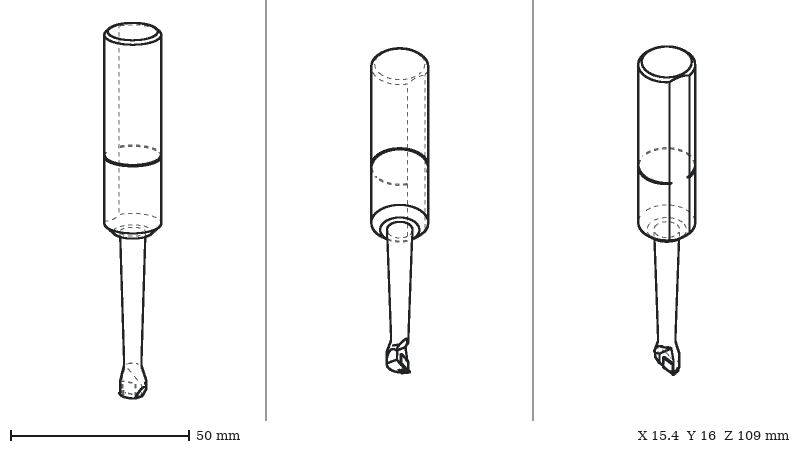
import cadquery as cq
import math

total_length = 109.0

shank_radius = 16.0 / 2
shank_bottom_z = 49.0
shank_width_over_flat = 15.4
shank_flat_x = shank_radius - shank_width_over_flat
top_chamfer = 1.0
bottom_chamfer = 2.5

groove_z = 71.8
groove_depth = 0.2

neck_root_radius = 7.2 / 2
neck_tip_radius = 5.0 / 2
taper_end_z = 11.4
neck_end_z = 8.8

drum_radius = 3.7
drum_offset_x = 0.1
drum_offset_y = 0.1
drum_top_z = 4.5
end_relief_angle = 6.0
end_z = 0.16

side_relief_top_z = 3.4
side_relief_bottom_x = 2.5
relief_margin = 1.1

rake_edge_x = -3.6
rake_edge_y = -0.2
rake_angle = 11.0
pocket_wall_angle = 45.0
pocket_corner_x = 2.4
pocket_corner_top_x = -3.0
pocket_reach = 16.4

tip_top_z = 3.5
tip_thickness = 0.4
tip_inner_x = 0.3
nose_section = [(-4.3, 0.27), (-4.1, 0.0), (-2.6, 0.2), (-3.0, 0.9)]
nose_front_y = 0.2
nose_length = 2.1
nose_taper_x = 0.9
nose_taper_z = 0.2


def rake_point(x, height=0.0):
    """XY point on the rake face at x, or raised above the face in Y."""
    rise = (x - rake_edge_x) * math.tan(math.radians(rake_angle))
    return (x, rake_edge_y + rise + height)


def revolved(points):
    """Solid of revolution about Z from (radius, z) points."""
    return cq.Workplane("XZ").polyline(points).close().revolve(360, (0, 0, 0), (0, 1, 0))


def plane_at(z):
    """Workplane parallel to XY at height z."""
    return cq.Workplane("XY").workplane(offset=z)


def shank():
    """Clamping cylinder with its flat and its groove."""
    length = total_length - shank_bottom_z
    cylinder = plane_at(shank_bottom_z).circle(shank_radius).extrude(length)
    cylinder = cylinder.faces(">Z").chamfer(top_chamfer)
    cylinder = cylinder.faces("<Z").chamfer(bottom_chamfer)
    flat_cut = plane_at(shank_bottom_z).center(shank_flat_x - shank_radius, 0)
    flat_cut = flat_cut.rect(2 * shank_radius, 4 * shank_radius).extrude(length)
    groove = revolved([
        (shank_radius - groove_depth, groove_z),
        (shank_radius + groove_depth, groove_z + 2 * groove_depth),
        (shank_radius + groove_depth, groove_z - 2 * groove_depth),
    ])
    return cylinder.cut(flat_cut).cut(groove)


def neck():
    """Slender stem between the shank and the head."""
    return revolved([
        (0, shank_bottom_z),
        (neck_root_radius, shank_bottom_z),
        (neck_tip_radius, taper_end_z),
        (neck_tip_radius, neck_end_z),
        (0, neck_end_z),
    ])


def chip_pocket():
    """Straight beside the tip, then sliding towards -X up to the end of the neck."""
    wall = math.radians(pocket_wall_angle)
    rake = math.radians(rake_angle)

    def section(corner_x, z):
        x, y = rake_point(corner_x)
        along_wall = (pocket_reach * math.cos(wall), pocket_reach * math.sin(wall))
        along_rake = (-pocket_reach * math.cos(rake), -pocket_reach * math.sin(rake))
        outline = [
            (x, y),
            (x + along_wall[0], y + along_wall[1]),
            (x + along_wall[0] + along_rake[0], y + along_wall[1] + along_rake[1]),
            (x + along_rake[0], y + along_rake[1]),
        ]
        return cq.Wire.makePolygon([cq.Vector(px, py, z) for px, py in outline], close=True)

    bottom = section(pocket_corner_x, 0)
    middle = section(pocket_corner_x, tip_top_z)
    top = section(pocket_corner_top_x, neck_end_z)
    lower = cq.Solid.makeLoft([bottom, middle], True)
    upper = cq.Solid.makeLoft([middle, top], True)
    return cq.Workplane(lower).union(cq.Workplane(upper))


def drum_and_flare():
    """Head before its end, side and chip pocket are cut."""
    drum = plane_at(0).center(drum_offset_x, drum_offset_y).circle(drum_radius).extrude(drum_top_z)
    flare = (
        plane_at(drum_top_z).center(drum_offset_x, drum_offset_y).circle(drum_radius)
        .workplane(offset=neck_end_z - drum_top_z)
        .center(-drum_offset_x, -drum_offset_y).circle(neck_tip_radius)
        .loft(ruled=True)
    )
    return drum.union(flare)


def end_relief():
    """Space under the end face, which rises towards -Y."""
    reach = 2 * drum_radius
    rise = reach * math.tan(math.radians(end_relief_angle))
    return (
        cq.Workplane("YZ")
        .polyline([(-reach, end_z + rise), (reach, end_z - rise), (reach, -reach), (-reach, -reach)])
        .close().extrude(reach, both=True)
    )


def side_relief():
    """Space beside the sloping face on the +X side of the drum."""
    outer_x = drum_offset_x + drum_radius
    slope = (outer_x - side_relief_bottom_x) / side_relief_top_z
    return (
        cq.Workplane("XZ")
        .polyline([
            (outer_x + slope * relief_margin, side_relief_top_z + relief_margin),
            (side_relief_bottom_x - slope * relief_margin, -relief_margin),
            (outer_x + slope * relief_margin, -relief_margin),
        ])
        .close().extrude(2 * drum_radius, both=True)
    )


def nose():
    """Point of the cutting edge, tapering back under the drum towards -Y."""
    front = [cq.Vector(x, nose_front_y, z) for x, z in nose_section]
    shift = cq.Vector(nose_taper_x, -nose_length, nose_taper_z)
    back = [point + shift for point in front]
    wires = [cq.Wire.makePolygon(points, close=True) for points in (front, back)]
    return cq.Workplane(cq.Solid.makeLoft(wires, True))


def tip_plate(drum):
    """Slab lying on the rake face, trimmed to the outline of the drum."""
    outer_x = -2 * drum_radius
    slab = (
        plane_at(0)
        .polyline([
            rake_point(outer_x),
            rake_point(tip_inner_x),
            rake_point(tip_inner_x, tip_thickness),
            rake_point(outer_x, tip_thickness),
        ])
        .close().extrude(tip_top_z)
    )
    return slab.intersect(drum)


full_head = drum_and_flare().cut(end_relief()).cut(side_relief())
cutting_tip = tip_plate(full_head).union(nose())
bar = shank().union(neck()).union(full_head.cut(chip_pocket())).cut(cutting_tip)

result = cq.Compound.makeCompound([bar.val(), cutting_tip.val()])